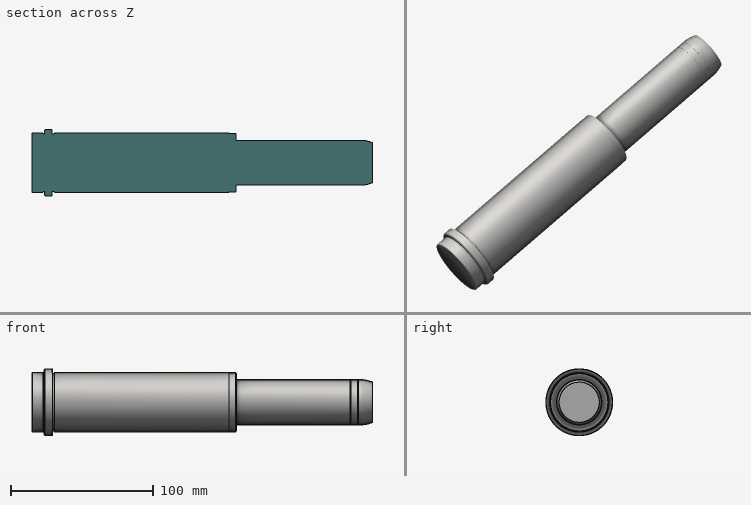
import cadquery as cq

length = 240.0
relief_start = 8.0
flange_start = 8.6
flange_end = 14.5
undercut_end = 15.8
guide_start = 138.7
shoulder = 144.0
nose_start = 232.8
groove_starts = (224.2, 229.2)

body_diameter = 42.0
flange_diameter = 47.0
undercut_diameter = 40.8
guide_diameter = 41.8
pin_diameter = 32.0
nose_diameter = 28.3

end_chamfer = 0.5
flange_chamfer = 0.7
shoulder_chamfer = 0.7
groove_width = 0.7
groove_depth = 0.2
nose_bulge = 0.35


def cylinder(start, end, diameter):
    """Solid cylinder along X between two stations."""
    return cq.Workplane("YZ", origin=(start, 0, 0)).circle(diameter / 2).extrude(end - start)


def body():
    """Thick part of the pin: end, flange, undercuts and shoulder."""
    end = cylinder(0, relief_start, body_diameter).faces("<X").chamfer(end_chamfer)
    core = cylinder(relief_start, undercut_end, undercut_diameter)
    flange = cylinder(flange_start, flange_end, flange_diameter).faces("<X").chamfer(flange_chamfer)
    barrel = cylinder(undercut_end, guide_start, body_diameter)
    guide = cylinder(guide_start, shoulder, guide_diameter).faces(">X").chamfer(shoulder_chamfer)
    return end.union(core).union(flange).union(barrel).union(guide)


def nose():
    """Lead-in at the thin end, turned from a slightly convex arc."""
    base_radius = pin_diameter / 2
    tip_radius = nose_diameter / 2
    middle = ((nose_start + length) / 2, (base_radius + tip_radius) / 2 + nose_bulge)
    return (
        cq.Workplane("XY")
        .moveTo(nose_start, 0)
        .lineTo(nose_start, base_radius)
        .threePointArc(middle, (length, tip_radius))
        .lineTo(length, 0)
        .close()
        .revolve(360, (0, 0, 0), (1, 0, 0))
    )


def ring_groove(start):
    """Ring of material removed from the thin part."""
    groove_end = start + groove_width
    outer = cylinder(start, groove_end, pin_diameter)
    inner = cylinder(start, groove_end, pin_diameter - 2 * groove_depth)
    return outer.cut(inner)


pin = cylinder(shoulder, nose_start, pin_diameter).union(nose())
for groove_start in groove_starts:
    pin = pin.cut(ring_groove(groove_start))

result = body().union(pin)